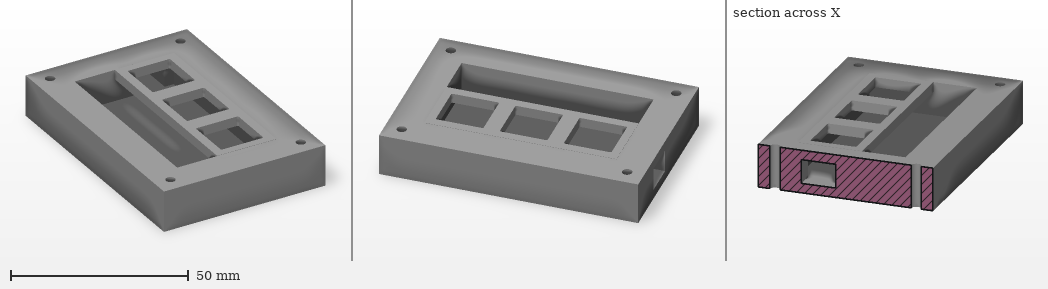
import cadquery as cq

length = 77.0
width = 52.5
height = 13.0
floor_thickness = 3.0

hole_diameter = 2.9
hole_spacing_x = 67.0
hole_spacing_y = 42.4

key_count = 3
key_pitch = 19.0
cavity_length = key_count * key_pitch
cavity_width = 32.3

plate_width = 19.25
plate_thickness = 3.0
plate_center_y = (cavity_width - plate_width) / 2
plate_rise = 0.1
plate_bottom = height + plate_rise - plate_thickness

window_length = 14.2
window_width = 13.8
window_corner_radius = 0.5

port_width = 10.2
port_height = 7.0
port_center_y = 8.1


def block(size_x, size_y, size_z, center_x, center_y, bottom_z):
    """Box centred in X and Y on a point and standing on bottom_z."""
    box = cq.Workplane("XY").box(size_x, size_y, size_z, centered=(True, True, False))
    return box.translate((center_x, center_y, bottom_z))


def make_case():
    """Body with its cavity, corner screw holes and cable port."""
    body = block(length, width, height, 0, 0, 0)
    cavity = block(cavity_length, cavity_width, height - floor_thickness, 0, 0, floor_thickness)
    screw_holes = (
        cq.Workplane("XY")
        .rect(hole_spacing_x, hole_spacing_y, forConstruction=True)
        .vertices()
        .circle(hole_diameter / 2)
        .extrude(height)
    )
    wall = (length - cavity_length) / 2
    port_center_x = (wall - length) / 2
    port = block(wall, port_width, port_height, port_center_x, port_center_y, floor_thickness)
    return body.cut(cavity).cut(screw_holes).cut(port)


def make_switch_plate():
    """Plate with a row of windows, each with rounded corners."""
    plate = block(cavity_length, plate_width, plate_thickness, 0, plate_center_y, plate_bottom)
    for index in range(key_count):
        center_x = (index - (key_count - 1) / 2) * key_pitch
        window = block(
            window_length, window_width, plate_thickness, center_x, plate_center_y, plate_bottom
        )
        window = window.edges("|Z").fillet(window_corner_radius)
        plate = plate.cut(window)
    return plate


result = make_case().union(make_switch_plate())